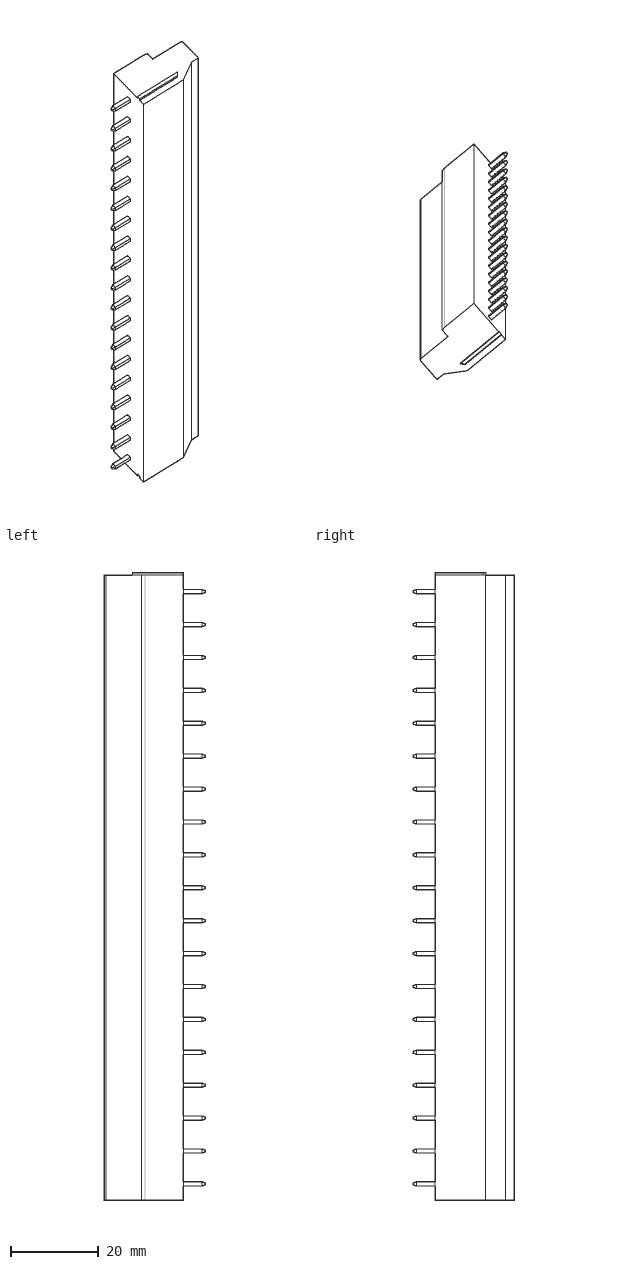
import cadquery as cq

pole_count = 19
total_height = 143.1
ridge_height = 0.6
body_height = total_height - ridge_height
pitch = body_height / pole_count
body_width = 11.2
body_depth = 18.0

step_width = 2.1
step_depth = 9.6
step_lip_width = 0.1
step_lip_depth = 0.9
rear_chamfer_width = 0.1
rear_chamfer_depth = 0.5
shoulder_x = 8.3
shoulder_depth = 16.0
slope_end_depth = 11.5

ridge_x = 8.9
ridge_width = 0.9
ridge_long_side = 11.6
ridge_short_side = 10.9

pin_size = 1.0
pin_length = 5.0
pin_tip_length = 0.7
pin_tip_size = 0.5
pin_x = 5.7
first_pin_z = pitch / 2


def make_housing():
    return (
        cq.Workplane("XY")
        .moveTo(0, 0)
        .lineTo(body_width, 0)
        .lineTo(body_width, slope_end_depth)
        .lineTo(shoulder_x, shoulder_depth)
        .lineTo(shoulder_x, body_depth)
        .lineTo(step_width + rear_chamfer_width, body_depth)
        .lineTo(step_width, body_depth - rear_chamfer_depth)
        .lineTo(step_width, step_depth)
        .lineTo(step_lip_width, step_depth)
        .lineTo(0, step_depth - step_lip_depth)
        .close()
        .extrude(body_height)
    )


def make_ridge(base_z):
    """Bar along Y with a slanted rear end, ridge_height tall from base_z upward."""
    return (
        cq.Workplane("XY", origin=(ridge_x, 0, base_z))
        .moveTo(0, 0)
        .lineTo(ridge_width, 0)
        .lineTo(ridge_width, ridge_short_side)
        .lineTo(0, ridge_long_side)
        .close()
        .extrude(ridge_height)
    )


def make_pin(center_z):
    """Square pin pointing to -Y with a tapered tip."""
    shank_length = pin_length - pin_tip_length
    shank = (
        cq.Workplane("XZ", origin=(pin_x, 0, center_z))
        .rect(pin_size, pin_size)
        .extrude(shank_length)
    )
    tip = (
        cq.Workplane("XZ", origin=(pin_x, -shank_length, center_z))
        .rect(pin_size, pin_size)
        .workplane(offset=pin_tip_length)
        .rect(pin_tip_size, pin_tip_size)
        .loft(ruled=True)
    )
    return shank.union(tip)


result = make_housing().union(make_ridge(body_height)).cut(make_ridge(0))
for pole in range(pole_count):
    result = result.union(make_pin(first_pin_z + pole * pitch))